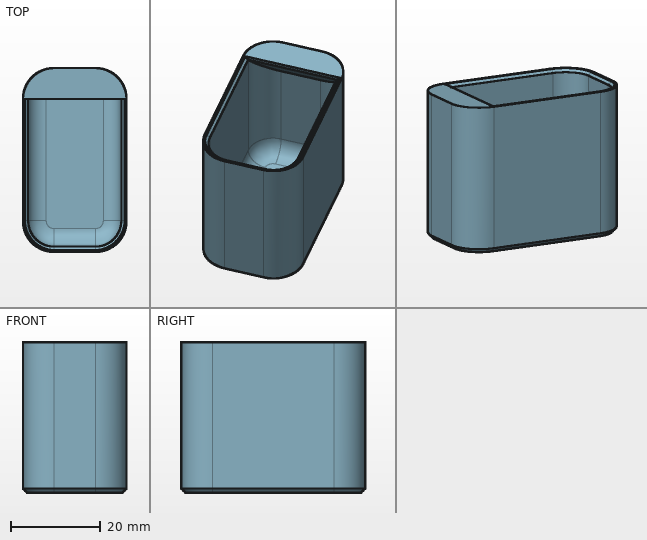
import cadquery as cq
import math

width = 23.25
length = 41.2
height = 33.7
corner_radius = 7.0
base_chamfer = 1.0

wall = 1.2
floor_thickness = wall
floor_fillet = 4.05
rim_width = 0.45
rim_chamfer = wall - rim_width
rim_angle = 45.0

shelf_depth = corner_radius
shelf_lip = 0.82
shelf_angle = 50.0


def rounded_block(inset, bottom, top):
    """Upright block following the outer outline, moved inward by inset."""
    return (
        cq.Workplane("XY", origin=(0, 0, bottom))
        .rect(width - 2 * inset, length - 2 * inset)
        .extrude(top - bottom)
        .edges("|Z")
        .fillet(corner_radius - inset)
    )


def make_body():
    return rounded_block(0, 0, height).faces("<Z").chamfer(base_chamfer)


def make_cavity():
    """Pocket with a filleted floor and a flared mouth at the rim."""
    pocket = rounded_block(wall, floor_thickness, height).faces("<Z").edges().fillet(floor_fillet)
    mouth = (
        rounded_block(rim_width, floor_thickness, height)
        .faces(">Z")
        .wires()
        .toPending()
        .workplane()
        .extrude(-rim_chamfer, combine=False, taper=rim_angle)
    )
    return pocket.union(mouth)


def make_shelf():
    """Flat ledge with a short front lip and a sloping underside, trimmed to the outline."""
    front_y = length / 2 - shelf_depth
    back_y = length / 2
    lip_z = height - shelf_lip
    heel_z = lip_z - shelf_depth * math.tan(math.radians(shelf_angle))
    wedge = (
        cq.Workplane("YZ")
        .polyline([(front_y, height), (front_y, lip_z), (back_y, heel_z), (back_y, height)])
        .close()
        .extrude(width / 2, both=True)
    )
    return wedge.intersect(rounded_block(0, 0, height))


result = make_body().cut(make_cavity().cut(make_shelf()))